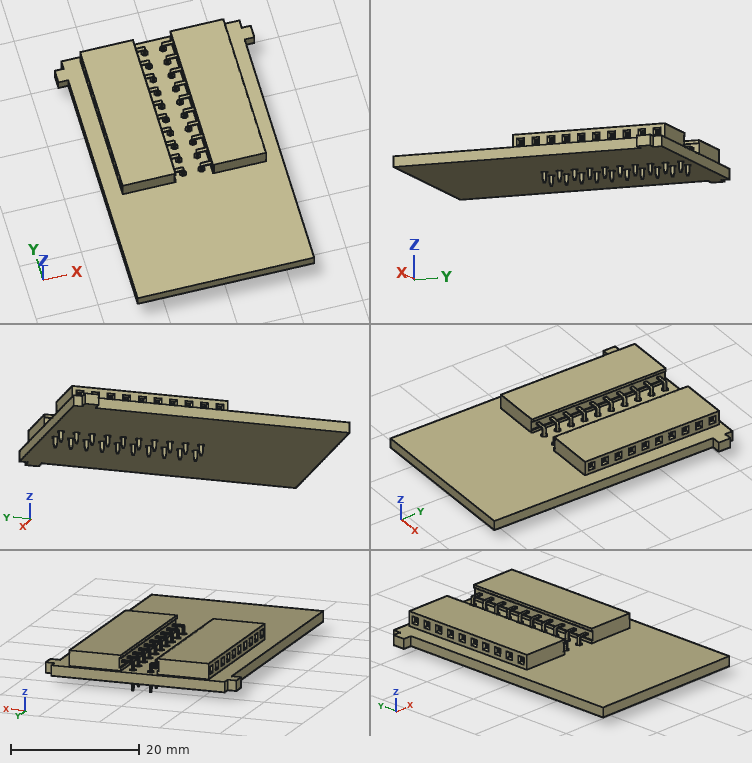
import cadquery as cq


BOARD_LENGTH = 45.0
BOARD_THICKNESS = 1.7
EAR_SPAN = 31.65
EAR_OVERHANG = 1.58
NECK_INSET = 1.45
EAR_START = 1.4
EAR_LENGTH = 2.2

SIDES = (-1, 1)
PIN_COUNT = 10
ROWS_CENTRE_X = 0.05
ROW_OFFSET = 1.5
PIN_HOLE_DIAMETER = 1.0
PIN_WIDTH = 0.6
PIN_THICKNESS = 0.202
PIN_BEND_RADIUS = 0.1
PIN_DROP = 1.6
PIN_TIP_LENGTH = 0.6
PIN_TIP_WIDTH = 0.22

HOUSING_WIDTH = 8.55
HOUSING_LENGTH = 25.4
HOUSING_HEIGHT = 2.5
HOUSING_INNER = 3.0
HOUSING_END_GAP = 0.65
RECESS_DEPTH = 0.22
LIP_HEIGHT = 0.5

SOCKET_MOUTH = 1.2
SOCKET_BORE = 0.68
MOUTH_DEPTH = 0.3
SOCKET_DEPTH = 2.7
CONTACT_LENGTH = 2.25

PITCH = HOUSING_LENGTH / PIN_COUNT
HOUSING_OUTER = HOUSING_INNER + HOUSING_WIDTH
CONTACT_END = HOUSING_OUTER - SOCKET_DEPTH + CONTACT_LENGTH
HOUSING_MIDDLE_Y = -HOUSING_END_GAP - HOUSING_LENGTH / 2
PIN_AXIS_Z = BOARD_THICKNESS + HOUSING_HEIGHT / 2
FIRST_PIN_Y = -HOUSING_END_GAP - PITCH / 2
PIN_YS = [FIRST_PIN_Y - i * PITCH for i in range(PIN_COUNT)]


def make_board():
    """Eared plate with two rows of pin holes."""
    ear_x = EAR_SPAN / 2
    body_x = ear_x - EAR_OVERHANG
    neck_x = ear_x - NECK_INSET
    ear_end = EAR_START + EAR_LENGTH
    half_outline = [
        (0, 0),
        (neck_x, 0),
        (neck_x, -EAR_START),
        (ear_x, -EAR_START),
        (ear_x, -ear_end),
        (body_x, -ear_end),
        (body_x, -BOARD_LENGTH),
        (0, -BOARD_LENGTH),
    ]
    plate = cq.Workplane("XY").polyline(half_outline).mirrorY().extrude(BOARD_THICKNESS)
    hole_centres = [(ROWS_CENTRE_X + side * ROW_OFFSET, y) for side in SIDES for y in PIN_YS]
    holes = (
        cq.Workplane("XY")
        .pushPoints(hole_centres)
        .circle(PIN_HOLE_DIAMETER / 2)
        .extrude(BOARD_THICKNESS)
    )
    return plate.cut(holes)


def make_housing():
    """Plain block with a lipped recess along its inner face."""
    block = cq.Workplane("XY").box(
        HOUSING_WIDTH, HOUSING_LENGTH, HOUSING_HEIGHT, centered=(False, True, False)
    )
    recess = (
        cq.Workplane("XY")
        .box(
            RECESS_DEPTH,
            HOUSING_LENGTH,
            HOUSING_HEIGHT - 2 * LIP_HEIGHT,
            centered=(False, True, False),
        )
        .translate((0, 0, LIP_HEIGHT))
    )
    return block.cut(recess).translate((HOUSING_INNER, HOUSING_MIDDLE_Y, BOARD_THICKNESS))


def make_socket(y):
    """Space of one socket: a square tapered mouth leading into a square bore."""
    mouth = (
        cq.Workplane("YZ", origin=(HOUSING_OUTER, y, PIN_AXIS_Z))
        .rect(SOCKET_MOUTH, SOCKET_MOUTH)
        .workplane(offset=-MOUTH_DEPTH)
        .rect(SOCKET_BORE, SOCKET_BORE)
        .loft(ruled=True)
    )
    bore = (
        cq.Workplane("YZ", origin=(HOUSING_OUTER - SOCKET_DEPTH, y, PIN_AXIS_Z))
        .rect(SOCKET_BORE, SOCKET_BORE)
        .extrude(SOCKET_DEPTH - MOUTH_DEPTH)
    )
    return mouth.union(bore)


def make_pin(y):
    """Flat bent pin, from its free end in the socket to its tapered tip below the board."""
    leg_left = ROW_OFFSET - PIN_THICKNESS / 2
    leg_right = ROW_OFFSET + PIN_THICKNESS / 2
    arm_top = PIN_AXIS_Z + PIN_THICKNESS / 2
    arm_bottom = PIN_AXIS_Z - PIN_THICKNESS / 2
    outer_radius = PIN_BEND_RADIUS + PIN_THICKNESS
    tip_bottom = -PIN_DROP
    tip_top = tip_bottom + PIN_TIP_LENGTH
    strip = (
        cq.Workplane("XZ", origin=(0, y + PIN_WIDTH / 2, 0))
        .moveTo(CONTACT_END, arm_top)
        .lineTo(leg_left + outer_radius, arm_top)
        .radiusArc((leg_left, arm_top - outer_radius), -outer_radius)
        .lineTo(leg_left, tip_top)
        .lineTo(leg_right, tip_top)
        .lineTo(leg_right, arm_bottom - PIN_BEND_RADIUS)
        .radiusArc((leg_right + PIN_BEND_RADIUS, arm_bottom), PIN_BEND_RADIUS)
        .lineTo(CONTACT_END, arm_bottom)
        .close()
        .extrude(PIN_WIDTH)
    )
    tip_outline = [
        (-PIN_WIDTH / 2, tip_top),
        (PIN_WIDTH / 2, tip_top),
        (PIN_TIP_WIDTH / 2, tip_bottom),
        (-PIN_TIP_WIDTH / 2, tip_bottom),
    ]
    tip = (
        cq.Workplane("YZ", origin=(leg_left, y, 0))
        .polyline(tip_outline)
        .close()
        .extrude(PIN_THICKNESS)
    )
    return strip.union(tip)


def make_header(side):
    """Housing and its row of pins as one solid, on the +X side (1) or the -X side (-1)."""
    header = make_housing()
    for y in PIN_YS:
        header = header.cut(make_socket(y))
    for y in PIN_YS:
        header = header.union(make_pin(y))
    if side < 0:
        header = header.mirror("YZ")
    return header.translate((ROWS_CENTRE_X, 0, 0))


board = make_board()
headers = [make_header(side) for side in SIDES]

result = cq.Compound.makeCompound([board.val(), *[header.val() for header in headers]])